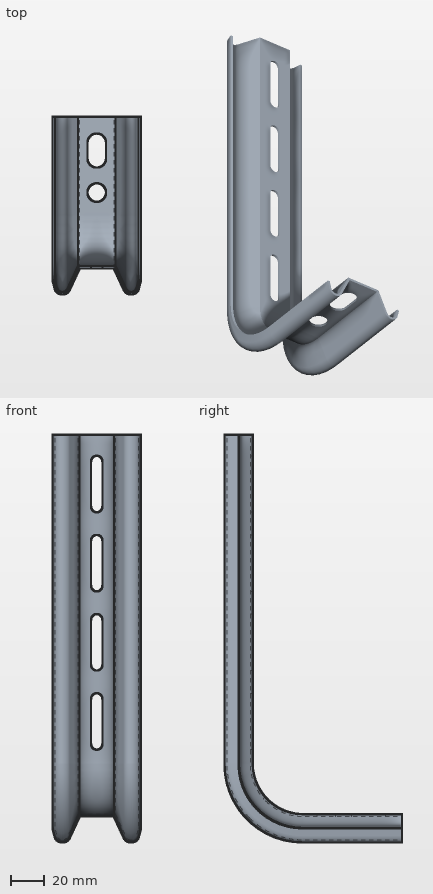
import cadquery as cq
import math

overall_width = 52.5
arm_reach = 105.5
column_height = 241.8
bend_radius = 46.7

sheet = 1.5
section_depth = 17.0
lobe_radius = 4.8
leg_angle = math.radians(25)
lip_angle = math.radians(14)
lip_length = 4.8

column_slot_width = 6.5
column_slot_length = 33.4
column_slot_count = 4
column_slot_pitch = 47.0
first_column_slot = 29.3
arm_hole_diameter = 11.0
arm_slot_length = 20.0
arm_slot_inset = 20.0
arm_hole_inset = 45.0

lobe_x = overall_width / 2 - lobe_radius * math.cos(lip_angle) - lip_length * math.sin(lip_angle)


def half_skin(offset):
    """Points of one sheet face, from web corner to lip edge, as (x, depth).

    An offset of zero gives the lobe-side face; the sheet thickness gives the other.
    """
    radius = lobe_radius - offset

    def lobe_point(x_part, depth_part):
        return (lobe_x + radius * x_part, lobe_radius + radius * depth_part)

    leg_end = lobe_point(-math.cos(leg_angle), -math.sin(leg_angle))
    lobe_crest = lobe_point(0, -1)
    lip_start = lobe_point(math.cos(lip_angle), -math.sin(lip_angle))
    lip_edge = (
        lip_start[0] + lip_length * math.sin(lip_angle),
        lip_start[1] + lip_length * math.cos(lip_angle),
    )
    web_depth = section_depth - sheet + offset
    web_corner = (leg_end[0] - (web_depth - leg_end[1]) * math.tan(leg_angle), web_depth)
    return web_corner, leg_end, lobe_crest, lip_start, lip_edge


def mirrored(points):
    return [(-x, depth) for x, depth in points]


def channel_section(plane):
    """Closed channel outline, with local y measured from the lobe crests to the web."""
    corner, leg_end, crest, lip_start, lip_edge = half_skin(0)
    back_corner, back_leg_end, back_crest, back_lip_start, back_lip_edge = half_skin(sheet)
    m_corner, m_leg_end, m_crest, m_lip_start, m_lip_edge = mirrored(half_skin(0))
    mb_corner, mb_leg_end, mb_crest, mb_lip_start, mb_lip_edge = mirrored(half_skin(sheet))
    return (
        cq.Workplane(plane)
        .moveTo(*m_lip_edge)
        .lineTo(*m_lip_start)
        .threePointArc(m_crest, m_leg_end)
        .lineTo(*m_corner)
        .lineTo(*corner)
        .lineTo(*leg_end)
        .threePointArc(crest, lip_start)
        .lineTo(*lip_edge)
        .lineTo(*back_lip_edge)
        .lineTo(*back_lip_start)
        .threePointArc(back_crest, back_leg_end)
        .lineTo(*back_corner)
        .lineTo(*mb_corner)
        .lineTo(*mb_leg_end)
        .threePointArc(mb_crest, mb_lip_start)
        .lineTo(*mb_lip_edge)
        .close()
    )


def bracket_body():
    """Straight column and arm joined by a quarter-turn bend."""
    bend_start = cq.Plane(origin=(0, 0, bend_radius), xDir=(1, 0, 0), normal=(0, 0, 1))
    arm_start = cq.Plane(origin=(0, bend_radius, 0), xDir=(1, 0, 0), normal=(0, -1, 0))
    column = channel_section(bend_start).extrude(column_height - bend_radius)
    arm = channel_section(arm_start).extrude(bend_radius - arm_reach)
    bend = channel_section(bend_start).revolve(90, (0, bend_radius, 0), (1, bend_radius, 0))
    return column.union(bend).union(arm)


def column_slots():
    centres = [
        (0, column_height - first_column_slot - i * column_slot_pitch)
        for i in range(column_slot_count)
    ]
    return (
        cq.Workplane("XZ")
        .pushPoints(centres)
        .slot2D(column_slot_length, column_slot_width, 90)
        .extrude(-section_depth)
    )


def arm_openings():
    slot = (
        cq.Workplane("XY")
        .center(0, arm_reach - arm_slot_inset)
        .slot2D(arm_slot_length, arm_hole_diameter, 90)
        .extrude(section_depth)
    )
    hole = (
        cq.Workplane("XY")
        .center(0, arm_reach - arm_hole_inset)
        .circle(arm_hole_diameter / 2)
        .extrude(section_depth)
    )
    return slot.union(hole)


result = bracket_body().cut(column_slots()).cut(arm_openings())